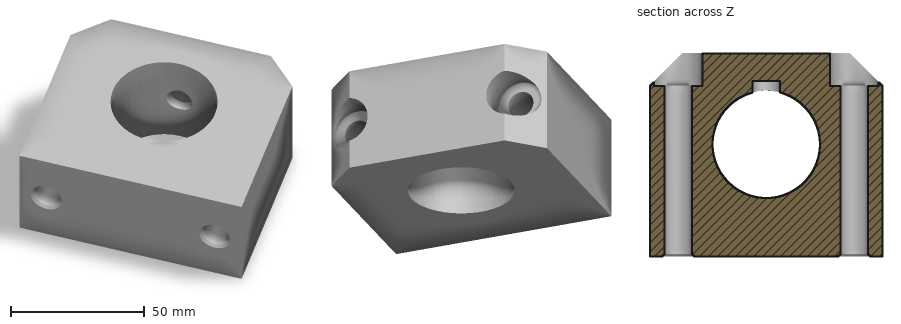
import cadquery as cq

width = 87.0
depth = 76.0
height = 40.0
corner_cut = 12.2

bore_diameter = 40.0
bore_y = 42.0

bolt_spacing = 65.95
bolt_diameter = 10.2
bolt_mouth_diameter = 12.2
bolt_mouth_chamfer = (bolt_mouth_diameter - bolt_diameter) / 2
counterbore_diameter = 18.0
counterbore_depth = 12.2

pocket_diameter = 10.2
pocket_depth = 3.65


def rod_along_y(diameter, x, y_start, y_end):
    """Cylinder parallel to Y at mid-height."""
    axis_start = cq.Vector(x, y_start, 0)
    cylinder = cq.Solid.makeCylinder(diameter / 2, y_end - y_start, axis_start, cq.Vector(0, 1, 0))
    return cq.Workplane(cylinder)


def bolt_hole_cutter(x):
    """Through hole with a chamfered front mouth and a counterbore at the back."""
    mouth = cq.Solid.makeCone(
        bolt_mouth_diameter / 2, bolt_diameter / 2, bolt_mouth_chamfer,
        cq.Vector(x, 0, 0), cq.Vector(0, 1, 0),
    )
    shank = rod_along_y(bolt_diameter, x, 0, depth)
    counterbore = rod_along_y(counterbore_diameter, x, depth - counterbore_depth, depth)
    return shank.union(cq.Workplane(mouth)).union(counterbore)


block = (
    cq.Workplane("XY")
    .box(width, depth, height, centered=(True, False, True))
    .edges("|Z and >Y")
    .chamfer(corner_cut)
)

bore = cq.Workplane("XY").center(0, bore_y).circle(bore_diameter / 2).extrude(height / 2, both=True)
result = block.cut(bore)

for bolt_x in (-bolt_spacing / 2, bolt_spacing / 2):
    result = result.cut(bolt_hole_cutter(bolt_x))

pocket_floor_y = bore_y + bore_diameter / 2 + pocket_depth
result = result.cut(rod_along_y(pocket_diameter, 0, bore_y, pocket_floor_y))